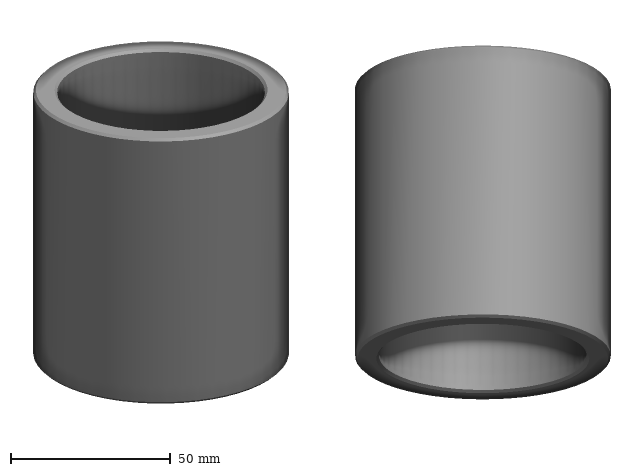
import cadquery as cq

outer_diameter = 80.0
bore_diameter = 65.0
length = 90.0
edge_chamfer = 0.8


def make_sleeve():
    """Straight tube with a through bore."""
    return (
        cq.Workplane("XY")
        .circle(outer_diameter / 2)
        .circle(bore_diameter / 2)
        .extrude(length)
    )


def break_rim_edges(sleeve):
    """Chamfer the inner and outer edges of both end faces."""
    return sleeve.faces("<Z or >Z").edges().chamfer(edge_chamfer)


result = break_rim_edges(make_sleeve())